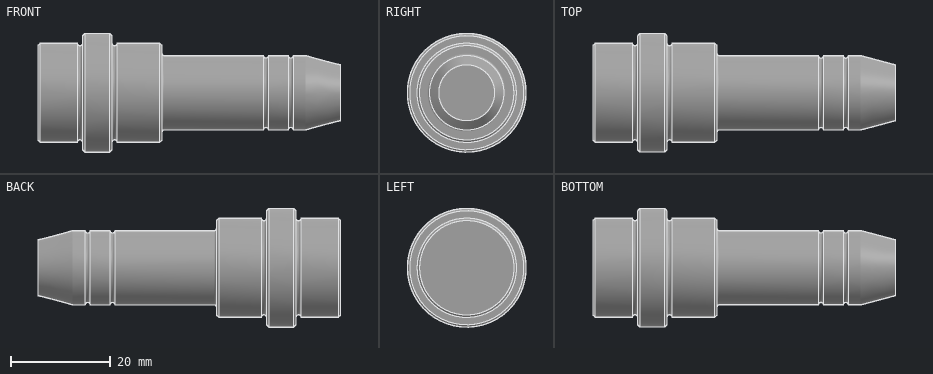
import cadquery as cq
import math

total_length = 61.0
body_diameter = 20.0
flange_diameter = 24.0
shaft_diameter = 15.0

groove_radius = 0.5
edge_chamfer = 0.5
shaft_fillet = 0.35

head_length = 8.0
flange_length = 6.0
body_length = 9.1
taper_length = 7.0
taper_angle = 15.0
shaft_groove_starts = (45.45, 50.45)

body_radius = body_diameter / 2
flange_radius = flange_diameter / 2
shaft_radius = shaft_diameter / 2
groove_width = 2 * groove_radius
flange_start = head_length + groove_width
flange_end = flange_start + flange_length
body_start = flange_end + groove_width
body_end = body_start + body_length
taper_start = total_length - taper_length
tip_radius = shaft_radius - taper_length * math.tan(math.radians(taper_angle))


def add_groove(profile, start, surface_radius):
    """Continue the profile through a half-round groove cut below a surface."""
    bottom = (start + groove_radius, surface_radius - groove_radius)
    return profile.threePointArc(bottom, (start + groove_width, surface_radius))


profile = (
    cq.Workplane("XY")
    .lineTo(0, body_radius - edge_chamfer)
    .lineTo(edge_chamfer, body_radius)
    .lineTo(head_length, body_radius)
)
profile = add_groove(profile, head_length, body_radius)

profile = (
    profile
    .lineTo(flange_start, flange_radius - edge_chamfer)
    .lineTo(flange_start + edge_chamfer, flange_radius)
    .lineTo(flange_end - edge_chamfer, flange_radius)
    .lineTo(flange_end, flange_radius - edge_chamfer)
    .lineTo(flange_end, body_radius)
)
profile = add_groove(profile, flange_end, body_radius)

profile = (
    profile
    .lineTo(body_end - edge_chamfer, body_radius)
    .lineTo(body_end, body_radius - edge_chamfer)
    .lineTo(body_end, shaft_radius + shaft_fillet)
    .radiusArc((body_end + shaft_fillet, shaft_radius), -shaft_fillet)
)

for groove_start in shaft_groove_starts:
    profile = profile.lineTo(groove_start, shaft_radius)
    profile = add_groove(profile, groove_start, shaft_radius)
profile = (
    profile
    .lineTo(taper_start, shaft_radius)
    .lineTo(total_length, tip_radius)
    .lineTo(total_length, 0)
    .close()
)

result = profile.revolve(360, (0, 0, 0), (1, 0, 0))